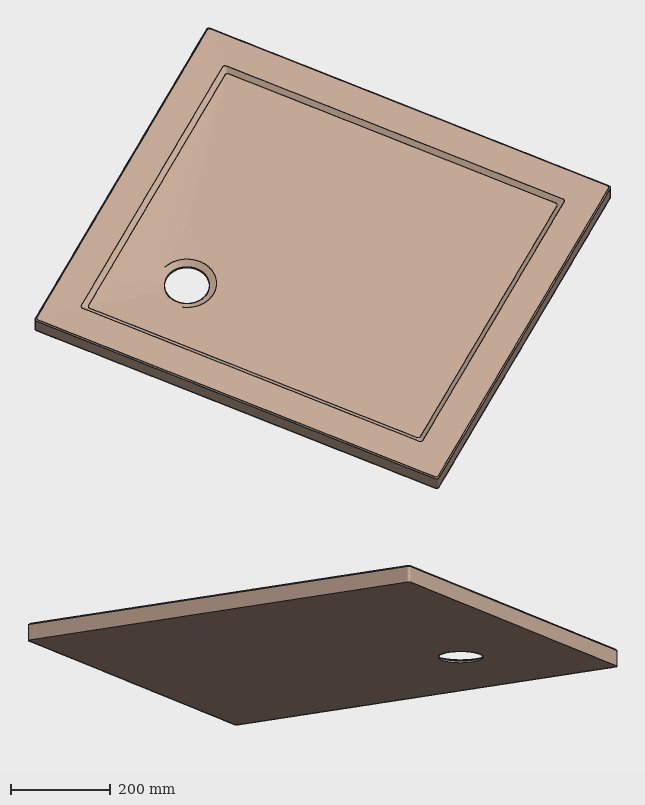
import cadquery as cq
import math

length = 900.0
width = 800.0
height = 35.0

top_edge_bevel = 3.0
corner_radius = 5.0

rim_width = 69.0
rim_fall = 3.0
step_width = 11.0
step_fall = 7.0
floor_fall = 15.0

drain_x = -220.5
drain_y = -170.0
drain_lip_radius = 59.0
drain_hole_radius = 45.0
drain_wall_height = 4.0
crease_span = 3.0

rim_inner_height = height - rim_fall
floor_edge_height = rim_inner_height - step_fall
drain_lip_height = floor_edge_height - floor_fall

side_angles = (0, 90, 180, 270)


def arc(center_x, center_y, radius, z, start, end):
    """Counter-clockwise arc between two angles in degrees."""

    def point(degrees):
        angle = math.radians(degrees)
        return cq.Vector(center_x + radius * math.cos(angle), center_y + radius * math.sin(angle), z)

    return cq.Edge.makeThreePointArc(point(start), point((start + end) / 2), point(end))


def outline_edges(inset, z):
    """Rounded rectangle: each side followed by the corner arc that ends it."""
    half_x = length / 2 - inset - corner_radius
    half_y = width / 2 - inset - corner_radius
    corner_centers = [(half_x, half_y), (-half_x, half_y), (-half_x, -half_y), (half_x, -half_y)]
    corners = [
        arc(x, y, corner_radius, z, angle, angle + 90)
        for (x, y), angle in zip(corner_centers, side_angles)
    ]
    edges = []
    for i, corner in enumerate(corners):
        previous_corner = corners[i - 1]
        edges.append(cq.Edge.makeLine(previous_corner.endPoint(), corner.startPoint()))
        edges.append(corner)
    return edges


def drain_edges(radius, z):
    """Circle around the drain, split to match the sides and corners of an outline."""
    half_side = 45 - crease_span / 2
    half_crease = crease_span / 2
    edges = []
    for angle in side_angles:
        diagonal = angle + 45
        edges.append(arc(drain_x, drain_y, radius, z, angle - half_side, angle + half_side))
        edges.append(arc(drain_x, drain_y, radius, z, diagonal - half_crease, diagonal + half_crease))
    return edges


loops = [
    outline_edges(0, 0),
    outline_edges(0, height - top_edge_bevel),
    outline_edges(top_edge_bevel, height),
    outline_edges(rim_width, rim_inner_height),
    outline_edges(rim_width + step_width, floor_edge_height),
    drain_edges(drain_lip_radius, drain_lip_height),
    drain_edges(drain_hole_radius, drain_wall_height),
    drain_edges(drain_hole_radius, 0),
]

faces = []
for outer_loop, inner_loop in zip(loops, loops[1:]):
    for outer_edge, inner_edge in zip(outer_loop, inner_loop):
        faces.append(cq.Face.makeRuledSurface(outer_edge, inner_edge))

underside_outline = cq.Wire.assembleEdges(loops[0])
drain_opening = cq.Wire.assembleEdges(loops[-1])
faces.append(cq.Face.makeFromWires(underside_outline, [drain_opening]))

tray = cq.Solid.makeSolid(cq.Shell.makeShell(faces)).fix()
result = cq.Workplane(tray)